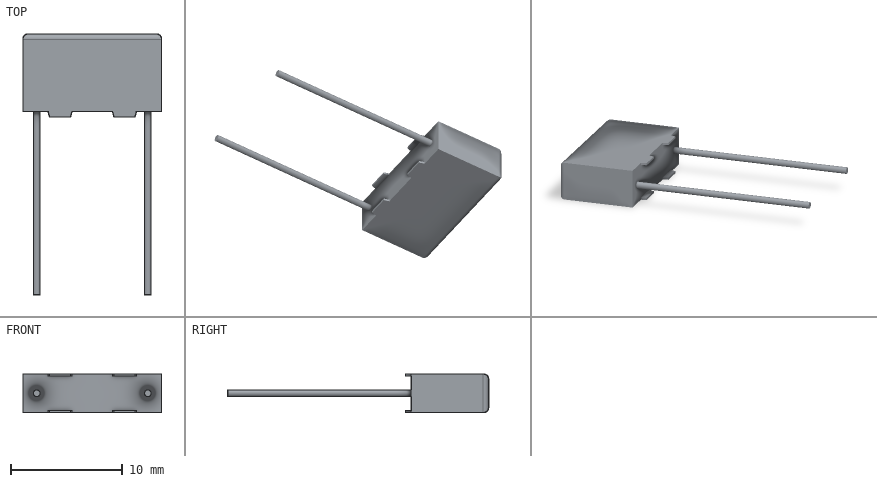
import cadquery as cq

case_width = 12.5
case_length = 7.0
case_height = 3.5
back_edge_radius = 0.5

foot_spacing = 5.8
foot_root_width = 2.18
foot_tip_width = 1.9
foot_length = 0.5
foot_thickness = 0.2

lead_spacing = 10.0
lead_diameter = 0.6
lead_length = 16.5


def make_foot(center_x, bottom_z):
    """Tapered tab that runs forward from the front face, narrower at its tip."""
    return (
        cq.Workplane("XY")
        .workplane(offset=bottom_z)
        .moveTo(center_x - foot_root_width / 2, 0)
        .lineTo(center_x - foot_tip_width / 2, -foot_length)
        .lineTo(center_x + foot_tip_width / 2, -foot_length)
        .lineTo(center_x + foot_root_width / 2, 0)
        .close()
        .extrude(foot_thickness)
    )


def make_case():
    """Box with its four back edges rounded and its four feet joined on."""
    body = (
        cq.Workplane("XY")
        .box(case_width, case_length, case_height, centered=(True, False, True))
        .faces(">Y")
        .edges()
        .fillet(back_edge_radius)
    )
    for center_x in (-foot_spacing / 2, foot_spacing / 2):
        for bottom_z in (-case_height / 2, case_height / 2 - foot_thickness):
            body = body.union(make_foot(center_x, bottom_z))
    return body


def make_lead(center_x):
    """Round wire that runs forward from the front face, level with the middle of the case."""
    return (
        cq.Workplane("XZ")
        .center(center_x, 0)
        .circle(lead_diameter / 2)
        .extrude(lead_length)
    )


case = make_case()
leads = [make_lead(center_x) for center_x in (-lead_spacing / 2, lead_spacing / 2)]

result = cq.Compound.makeCompound([case.val(), *[lead.val() for lead in leads]])